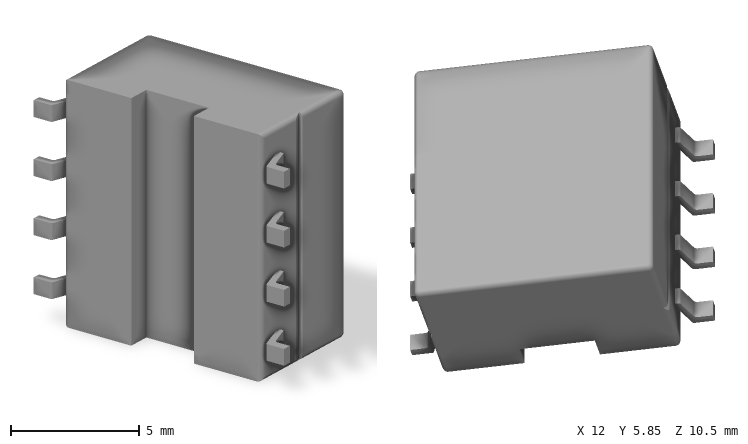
import cadquery as cq
import math

overall_width = 12.04
overall_depth = 5.85
body_height = 10.5

body_width = 9.49
standoff = 0.25
edge_radius = 0.2
body_half = body_width / 2
foot_y = 0.0
body_front = foot_y + standoff
body_back = foot_y + overall_depth

channel_width = 3.01
channel_depth = 1.0

groove_setback = 2.88
groove_length = 0.42
groove_angle = math.radians(20)
groove_depth = groove_length * math.tan(groove_angle)

leads_per_side = 4
lead_pitch = 2.5
lead_width = 0.71
lead_rise = 1.48
foot_thickness = 0.37
foot_length = 0.87
leg_thickness = 0.28
leg_angle = math.radians(19)
outer_bend_radius = 0.1
inner_bend_radius = 0.15
embed_length = 0.24


def make_body():
    """Block rounded on every edge except the two short edges of the mounting face."""
    block = cq.Workplane("XY").box(
        body_width, body_back - body_front, body_height, centered=(True, False, True)
    ).translate((0, body_front, 0))
    block = block.edges("|Y or >Y or (<Y and |Z)").fillet(edge_radius)
    channel = cq.Workplane("XY").box(
        channel_width, channel_depth, body_height, centered=(True, False, True)
    ).translate((0, body_front, 0))
    return block.cut(channel)


def make_groove():
    """Wedge removed from the +X side: a square wall at the back, sloping out to the front."""
    wall_y = body_back - groove_setback
    return (
        cq.Workplane("XY")
        .moveTo(body_half, wall_y)
        .lineTo(body_half - groove_depth, wall_y)
        .lineTo(body_half, wall_y - groove_length)
        .close()
        .extrude(body_height / 2, both=True)
    )


def make_lead():
    """One lead on the +X side, centred on Z = 0 and anchored inside the body."""
    tip_x = overall_width / 2
    anchor_x = body_half - embed_length
    slope = math.tan(leg_angle)
    foot_top = foot_y + foot_thickness
    shoulder_y = foot_y + lead_rise
    heel_x = tip_x - foot_length
    leg_span = leg_thickness / math.cos(leg_angle)
    knee_x = heel_x + leg_span - foot_thickness * slope
    shoulder_x = heel_x + leg_span - lead_rise * slope
    underside_y = shoulder_y - leg_thickness
    underside_x = heel_x - (underside_y - foot_y) * slope
    lead = (
        cq.Workplane("XY")
        .moveTo(tip_x, foot_y)
        .lineTo(tip_x, foot_top)
        .lineTo(knee_x, foot_top)
        .lineTo(shoulder_x, shoulder_y)
        .lineTo(anchor_x, shoulder_y)
        .lineTo(anchor_x, underside_y)
        .lineTo(underside_x, underside_y)
        .lineTo(heel_x, foot_y)
        .close()
        .extrude(lead_width / 2, both=True)
    )

    def bend_at(x, y):
        return cq.selectors.NearestToPointSelector((x, y, 0))

    lead = lead.edges(bend_at(knee_x, foot_top)).fillet(inner_bend_radius)
    lead = lead.edges(bend_at(underside_x, underside_y)).fillet(inner_bend_radius)
    lead = lead.edges(bend_at(heel_x, foot_y)).fillet(outer_bend_radius)
    return lead.edges(bend_at(shoulder_x, shoulder_y)).fillet(outer_bend_radius)


def on_both_sides(feature):
    """The +X feature together with its copy turned half a revolution about Y onto the -X side."""
    return [feature, feature.rotate((0, 0, 0), (0, 1, 0), 180)]


result = make_body()

for groove in on_both_sides(make_groove()):
    result = result.cut(groove)

for lead in on_both_sides(make_lead()):
    for row in range(leads_per_side):
        row_z = (row - (leads_per_side - 1) / 2) * lead_pitch
        result = result.union(lead.translate((0, 0, row_z)))